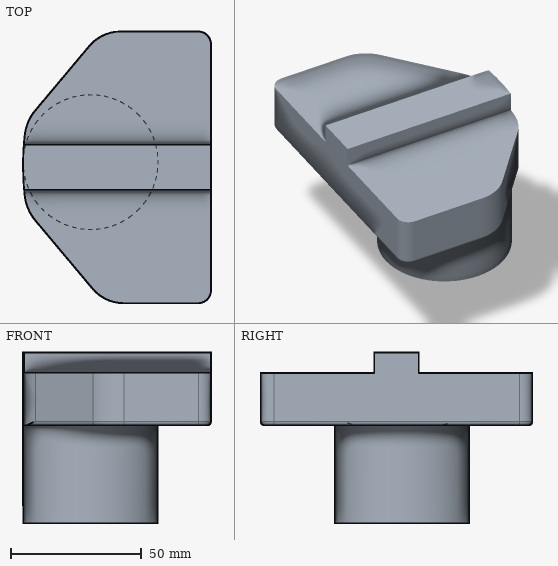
import cadquery as cq

length_x = 72.0
width_y = 104.0

stem_height = 37.4
plate_height = 20.1
rib_height = 7.9

stem_diameter = 51.6
stem_center_y = 2.1
rib_width = 17.2

nose_center_y = 0.7
nose_half_width = 17.2
nose_bow = 1.5
shoulder_x_back = 30.1
shoulder_x_front = 31.3

nose_corner_radius = 18.0
shoulder_radius = 15.6
rear_corner_radius = 5.0
bottom_edge_radius = 1.7


def outline_prism(height):
    """Sharp-cornered plate outline, extruded upward from the top of the stem."""
    return (
        cq.Workplane("XY", origin=(0, 0, stem_height))
        .moveTo(nose_bow, nose_center_y - nose_half_width)
        .threePointArc((0, nose_center_y), (nose_bow, nose_center_y + nose_half_width))
        .lineTo(shoulder_x_back, width_y / 2)
        .lineTo(length_x, width_y / 2)
        .lineTo(length_x, -width_y / 2)
        .lineTo(shoulder_x_front, -width_y / 2)
        .close()
        .extrude(height)
    )


def round_upright_edges(body, x_min, x_max, radius):
    """Round the vertical edges lying between two X positions."""
    edges = body.edges("|Z").filter(lambda edge: x_min < edge.Center().x < x_max)
    return edges.fillet(radius)


def round_outer_corners(body):
    """Round the shoulders and the +X corners, leaving the nose sharp."""
    body = round_upright_edges(body, nose_bow + 1, shoulder_x_front + 1, shoulder_radius)
    return round_upright_edges(body, length_x - 1, length_x + 1, rear_corner_radius)


def round_nose(body):
    return round_upright_edges(body, 0, nose_bow + 1, nose_corner_radius)


def make_plate():
    plate = round_outer_corners(outline_prism(plate_height))
    bottom_edges = plate.faces("<Z").edges().filter(lambda edge: edge.Center().x > nose_bow)
    plate = bottom_edges.fillet(bottom_edge_radius)
    return plate.intersect(round_nose(outline_prism(plate_height)))


def make_rib():
    rib_bottom = stem_height + plate_height
    blank = (
        cq.Workplane("XY", origin=(0, 0, rib_bottom))
        .rect(2 * length_x, rib_width)
        .extrude(rib_height)
    )
    return blank.intersect(outline_prism(plate_height + rib_height))


stem_radius = stem_diameter / 2
stem = (
    cq.Workplane("XY")
    .center(stem_radius, stem_center_y)
    .circle(stem_radius)
    .extrude(stem_height)
)

result = stem.union(make_plate()).union(make_rib())